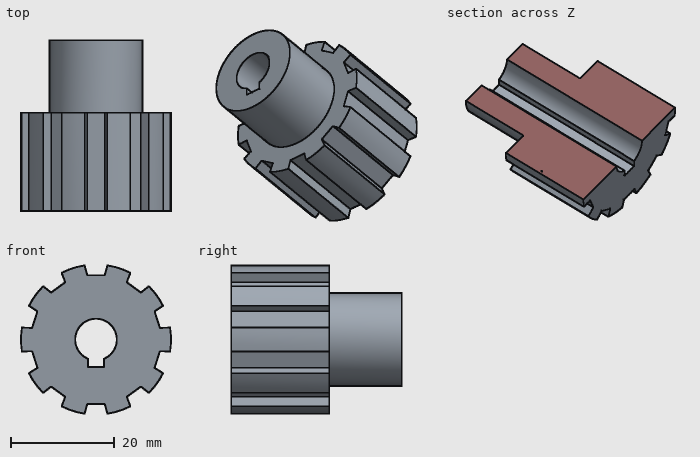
import cadquery as cq
import math

TOOTH_COUNT = 10
OUTER_RADIUS = 14.505
TOOTH_LENGTH = 19.0
GROOVE_FLOOR_DISTANCE = 12.45
GROOVE_FLOOR_WIDTH = 3.34
GROOVE_MOUTH_WIDTH = 4.38

HUB_DIAMETER = 18.0
TOTAL_LENGTH = 33.0

BORE_DIAMETER = 8.0
KEYWAY_WIDTH = 3.0
KEYWAY_FLOOR_DISTANCE = 5.25

PITCH_ANGLE = 360.0 / TOOTH_COUNT


def front_plane():
    """Plane at Y = 0 whose normal is +Y; local x is -X and local y is +Z."""
    return cq.Workplane(cq.Plane(origin=(0, 0, 0), xDir=(-1, 0, 0), normal=(0, 1, 0)))


def make_groove():
    """Trapezoidal groove cutter centred on +Z, with its flanks extended past the tooth tips."""
    half_floor = GROOVE_FLOOR_WIDTH / 2
    half_mouth = GROOVE_MOUTH_WIDTH / 2
    mouth_distance = math.sqrt(OUTER_RADIUS**2 - half_mouth**2)
    depth = mouth_distance - GROOVE_FLOOR_DISTANCE
    half_top = half_mouth + (half_mouth - half_floor)
    top_distance = mouth_distance + depth
    return (
        front_plane()
        .polyline([
            (-half_floor, GROOVE_FLOOR_DISTANCE),
            (half_floor, GROOVE_FLOOR_DISTANCE),
            (half_top, top_distance),
            (-half_top, top_distance),
        ])
        .close()
        .extrude(TOOTH_LENGTH)
    )


def make_toothed_section():
    """Cylinder with one groove per tooth; a groove is centred on +Z."""
    body = front_plane().circle(OUTER_RADIUS).extrude(TOOTH_LENGTH)
    groove = make_groove()
    for index in range(TOOTH_COUNT):
        body = body.cut(groove.rotate((0, 0, 0), (0, 1, 0), index * PITCH_ANGLE))
    return body


def make_hub():
    return front_plane().circle(HUB_DIAMETER / 2).extrude(TOTAL_LENGTH)


def make_keyed_bore():
    """Through bore joined with the keyway that runs its whole length."""
    bore = front_plane().circle(BORE_DIAMETER / 2).extrude(TOTAL_LENGTH)
    keyway = (
        front_plane()
        .center(0, -KEYWAY_FLOOR_DISTANCE / 2)
        .rect(KEYWAY_WIDTH, KEYWAY_FLOOR_DISTANCE)
        .extrude(TOTAL_LENGTH)
    )
    return bore.union(keyway)


result = make_toothed_section().union(make_hub()).cut(make_keyed_bore())